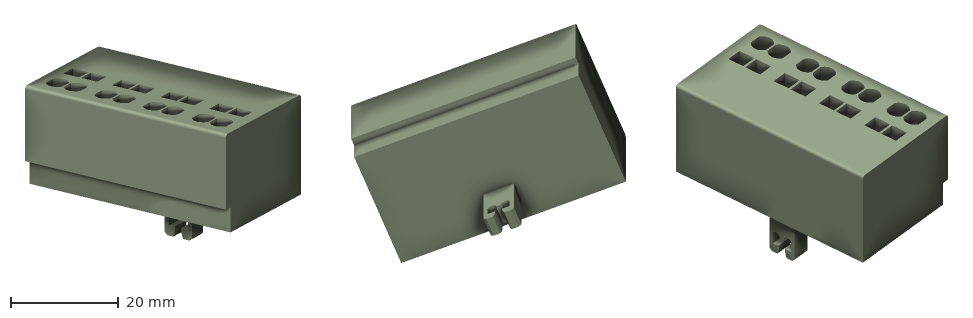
import cadquery as cq
import math

BLOCK_LENGTH = 45.0
BLOCK_DEPTH = 25.0
BLOCK_HEIGHT = 20.0
COVER_HEIGHT = 3.75
TOP_EDGE_RADIUS = 0.65
SEAM_Z = BLOCK_HEIGHT - COVER_HEIGHT
FRONT_Y = -BLOCK_DEPTH / 2

STEP_DEPTH = 1.5
STEP_HEIGHT = 5.0

GROUP_COUNT = 4
GROUP_PITCH = 10.9
OPENINGS_CENTRE_X = -0.05
PAIR_PITCH = 4.05
SQUARE_WIDTH = 3.55
SQUARE_DEPTH = 3.25
SQUARE_ROW_Y = -SQUARE_DEPTH / 2
ROUND_ROW_Y = -7.8
ROUND_DIAMETER = 4.3
ROUND_WIDTH = 3.65

LEG_WIDTH = 6.1
LEG_THICKNESS = 3.75
LEG_LENGTH = 11.1
LEG_Y = 6.95
LEG_CORNER = 0.6
LEG_TIP_Z = -LEG_LENGTH

WINDOW_WIDTH = 4.35
WINDOW_FLOOR = 1.95
LOBE_RADIUS = 0.8
LOBE_CENTRE_HEIGHT = 3.95
BUMP_DROP = 0.068
SLOT_NECK_HALF = 0.68
LIP_RISE = 0.2
LIP_WIDTH = 0.25
SLOT_MOUTH_HALF = 1.12
SLOT_MIDDLE_HALF = 0.788


def opening_positions():
    """X positions of the openings, the same for both rows."""
    positions = []
    for group in range(GROUP_COUNT):
        group_x = OPENINGS_CENTRE_X + (group - (GROUP_COUNT - 1) / 2) * GROUP_PITCH
        positions.append(group_x - PAIR_PITCH / 2)
        positions.append(group_x + PAIR_PITCH / 2)
    return positions


def square_opening(x, y):
    return (
        cq.Workplane("XY", origin=(x, y, SEAM_Z))
        .rect(SQUARE_WIDTH, SQUARE_DEPTH)
        .extrude(COVER_HEIGHT)
    )


def round_opening(x, y):
    """Round opening cut off by a flat on each X side."""
    radius = ROUND_DIAMETER / 2
    half_width = ROUND_WIDTH / 2
    half_flat = math.sqrt(radius**2 - half_width**2)
    return (
        cq.Workplane("XY", origin=(x, y, SEAM_Z))
        .moveTo(-half_width, -half_flat)
        .threePointArc((0, -radius), (half_width, -half_flat))
        .lineTo(half_width, half_flat)
        .threePointArc((0, radius), (-half_width, half_flat))
        .close()
        .extrude(COVER_HEIGHT)
    )


def make_cover():
    """Top slab with rounded long edges and rows of openings down to the seam."""
    slab = (
        cq.Workplane("XY", origin=(0, 0, SEAM_Z))
        .rect(BLOCK_LENGTH, BLOCK_DEPTH)
        .extrude(COVER_HEIGHT)
        .edges("|X and >Z")
        .fillet(TOP_EDGE_RADIUS)
    )
    for x in opening_positions():
        slab = slab.cut(square_opening(x, SQUARE_ROW_Y))
        slab = slab.cut(round_opening(x, ROUND_ROW_Y))
    return slab


def make_leg_window():
    """Two-lobed window that opens downwards through a flared slot."""
    half_width = WINDOW_WIDTH / 2
    floor_z = LEG_TIP_Z + WINDOW_FLOOR
    lip_z = floor_z + LIP_RISE
    lip_outer_x = SLOT_NECK_HALF + LIP_WIDTH
    lobe_z = LEG_TIP_Z + LOBE_CENTRE_HEIGHT
    lobe_x = half_width - LOBE_RADIUS
    lobe_inner_x = lobe_x - LOBE_RADIUS
    slot_middle_z = LEG_TIP_Z + WINDOW_FLOOR / 2
    return (
        cq.Workplane("XZ", origin=(0, LEG_Y, 0))
        .moveTo(-SLOT_MOUTH_HALF, LEG_TIP_Z)
        .threePointArc((-SLOT_MIDDLE_HALF, slot_middle_z), (-SLOT_NECK_HALF, lip_z))
        .lineTo(-lip_outer_x, floor_z)
        .lineTo(-half_width, floor_z)
        .lineTo(-half_width, lobe_z)
        .threePointArc((-lobe_x, lobe_z + LOBE_RADIUS), (-lobe_inner_x, lobe_z))
        .threePointArc((0, lobe_z - BUMP_DROP), (lobe_inner_x, lobe_z))
        .threePointArc((lobe_x, lobe_z + LOBE_RADIUS), (half_width, lobe_z))
        .lineTo(half_width, floor_z)
        .lineTo(lip_outer_x, floor_z)
        .lineTo(SLOT_NECK_HALF, lip_z)
        .threePointArc((SLOT_MIDDLE_HALF, slot_middle_z), (SLOT_MOUTH_HALF, LEG_TIP_Z))
        .close()
        .extrude(LEG_THICKNESS / 2, both=True)
    )


def make_leg():
    blank = (
        cq.Workplane("XY", origin=(0, LEG_Y, LEG_TIP_Z))
        .rect(LEG_WIDTH, LEG_THICKNESS)
        .extrude(LEG_LENGTH)
        .edges("|Y and <Z")
        .chamfer(LEG_CORNER)
    )
    return blank.cut(make_leg_window())


def make_base():
    """Lower block with its front step and the leg under it."""
    block = (
        cq.Workplane("XY")
        .rect(BLOCK_LENGTH, BLOCK_DEPTH)
        .extrude(SEAM_Z)
    )
    step = (
        cq.Workplane("XY", origin=(0, FRONT_Y + STEP_DEPTH / 2, 0))
        .rect(BLOCK_LENGTH, STEP_DEPTH)
        .extrude(STEP_HEIGHT)
    )
    return block.cut(step).union(make_leg())


cover = make_cover()
base = make_base()

result = cq.Compound.makeCompound([cover.solids().val(), base.solids().val()])